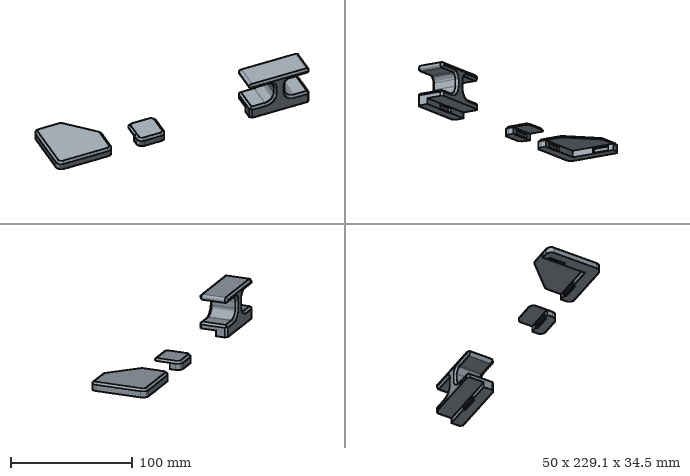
import cadquery as cq
import math

TOTAL_LENGTH = 229.1
CORNER_SIDE = 50.0
WALL = CORNER_SIDE / 10
MODULE = CORNER_SIDE / 2
CHAMFER = 2.0
CORNER_RADIUS = WALL

RAIL_WIDTH = 2 * WALL
RAIL_FACE_X = CORNER_SIDE - RAIL_WIDTH
POCKET_LENGTH = 3 * WALL
POCKET_HEIGHT = 3.7
POCKET_DEPTH = 2.0
POCKET_RISE = 0.7

PAD_HEIGHT = 1.5 * WALL
PAD_BOTTOM = WALL
PAD_PLATE = CHAMFER
SMALL_PAD_Y = 73.0

CLEAT_LENGTH = 54.0
CLEAT_X = 23.0
CLEAT_CENTER_Y = TOTAL_LENGTH - CLEAT_LENGTH / 2
RAIL_HEIGHT = WALL
FOOT_THICKNESS = 5.5
FOOT_TOP = RAIL_HEIGHT + FOOT_THICKNESS
THROAT_HEIGHT = 19.0
FLANGE_BOTTOM = FOOT_TOP + THROAT_HEIGHT
FLANGE_THICKNESS = WALL
WEB_WIDTH = 2 * WALL
LOWER_FILLET = 8.0
UPPER_FILLET = WALL


def rail_pocket(rail_face_x, center_y, rail_bottom):
    """Shallow rectangular pocket sunk into a rail face that looks toward -X."""
    return (
        cq.Workplane("XY")
        .box(POCKET_DEPTH, POCKET_LENGTH, POCKET_HEIGHT, centered=(False, True, False))
        .translate((rail_face_x, center_y, rail_bottom + POCKET_RISE))
    )


def pad_block(outline):
    """Full-height pad: rounded vertical corners and a chamfered top edge."""
    block = outline.extrude(PAD_HEIGHT).edges("|Z").fillet(CORNER_RADIUS)
    return block.faces(">Z").edges().chamfer(CHAMFER).translate((0, 0, PAD_BOTTOM))


def pad_undercut(left, front, length):
    """Space under a pad's plate, open toward -X and +Y, that leaves the rails standing."""
    return (
        cq.Workplane("XY")
        .box(RAIL_FACE_X - left, length, PAD_HEIGHT - PAD_PLATE, centered=False)
        .translate((left, front, PAD_BOTTOM))
    )


def make_corner_pad():
    """Square pad with its -X, +Y corner cut off, on rails along the -Y and +X sides."""
    outline = (
        cq.Workplane("XY")
        .polyline([
            (0, 0),
            (CORNER_SIDE, 0),
            (CORNER_SIDE, CORNER_SIDE),
            (MODULE, CORNER_SIDE),
            (0, MODULE),
        ])
        .close()
    )
    undercut = pad_undercut(0, RAIL_WIDTH, CORNER_SIDE - RAIL_WIDTH)
    side_pocket = rail_pocket(RAIL_FACE_X, CORNER_SIDE - MODULE / 2, PAD_BOTTOM)
    front_pocket = (
        cq.Workplane("XY")
        .box(POCKET_LENGTH, POCKET_DEPTH, POCKET_HEIGHT, centered=(True, False, False))
        .translate((MODULE / 2, RAIL_WIDTH - POCKET_DEPTH, PAD_BOTTOM + POCKET_RISE))
    )
    return pad_block(outline).cut(undercut).cut(side_pocket).cut(front_pocket)


def make_small_pad():
    """Square pad on a single rail along its +X side."""
    left = CORNER_SIDE - MODULE
    outline = cq.Workplane("XY").rect(MODULE, MODULE, centered=False)
    block = pad_block(outline).translate((left, SMALL_PAD_Y, 0))
    undercut = pad_undercut(left, SMALL_PAD_Y, MODULE)
    pocket = rail_pocket(RAIL_FACE_X, SMALL_PAD_Y + MODULE / 2, PAD_BOTTOM)
    return block.cut(undercut).cut(pocket)


def cleat_half():
    """The +Y half of the cleat's I-shaped section, extruded across its width."""
    end = CLEAT_LENGTH / 2
    web = WEB_WIDTH / 2
    top = FLANGE_BOTTOM + FLANGE_THICKNESS
    nose_radius = FLANGE_THICKNESS / 2
    lower_center = (web + LOWER_FILLET, FOOT_TOP + LOWER_FILLET)
    upper_center = (web + UPPER_FILLET, FLANGE_BOTTOM - UPPER_FILLET)
    diagonal = math.cos(math.radians(45))
    lower_reach = LOWER_FILLET * diagonal
    upper_reach = UPPER_FILLET * diagonal
    return (
        cq.Workplane("YZ")
        .lineTo(end, 0)
        .lineTo(end, FOOT_TOP)
        .lineTo(lower_center[0], FOOT_TOP)
        .threePointArc(
            (lower_center[0] - lower_reach, lower_center[1] - lower_reach),
            (web, lower_center[1]),
        )
        .lineTo(web, upper_center[1])
        .threePointArc(
            (upper_center[0] - upper_reach, upper_center[1] + upper_reach),
            (upper_center[0], FLANGE_BOTTOM),
        )
        .lineTo(end - nose_radius, FLANGE_BOTTOM)
        .threePointArc((end, FLANGE_BOTTOM + nose_radius), (end - nose_radius, top))
        .lineTo(0, top)
        .close()
        .extrude(MODULE)
    )


def make_cleat():
    """I-shaped cleat with chamfered edges, on a rail along its +X side."""
    half = cleat_half()
    body = half.union(half.mirror("XZ")).clean()
    body = body.faces("<X or >X").edges("not <Z").chamfer(CHAMFER)
    foot_ends = cq.selectors.BoxSelector(
        (0, -CLEAT_LENGTH, FOOT_TOP - CHAMFER / 2),
        (MODULE, CLEAT_LENGTH, FOOT_TOP + CHAMFER / 2),
    )
    for side in ("<Y", ">Y"):
        body = body.edges(foot_ends).edges(side).chamfer(CHAMFER)
    undercut = cq.Workplane("XY").box(
        MODULE - RAIL_WIDTH, CLEAT_LENGTH, RAIL_HEIGHT, centered=(False, True, False)
    )
    pocket = rail_pocket(MODULE - RAIL_WIDTH, 0, 0)
    return body.cut(undercut).cut(pocket).translate((CLEAT_X, CLEAT_CENTER_Y, 0))


corner_pad = make_corner_pad()
small_pad = make_small_pad()
cleat = make_cleat()

result = cq.Compound.makeCompound([corner_pad.val(), small_pad.val(), cleat.val()])